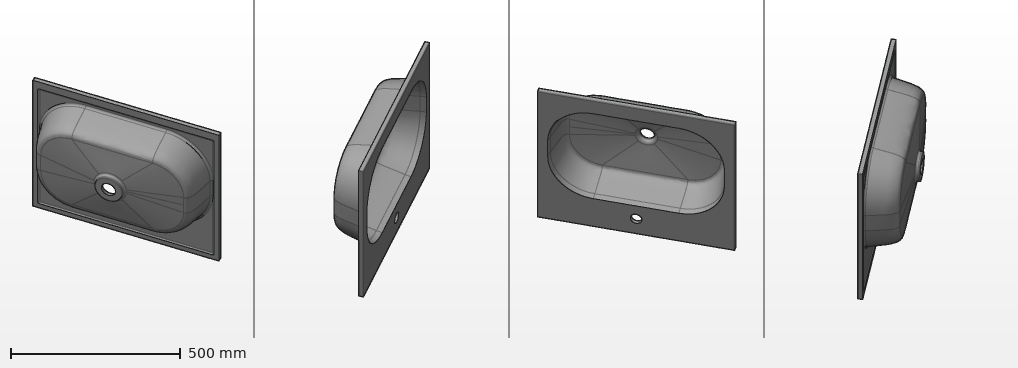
import cadquery as cq
import math


rim_width = 600.0
rim_height = 500.0
rim_thickness = 15.0
rim_edge_radius = 2.0

recess_depth = 3.0
recess_cove_radius = 7.0
recess_floor_side_border = 22.0
recess_floor_top_border = 33.0
recess_floor_bottom_border = 23.0
deck_thickness = rim_thickness - recess_depth

bowl_centre_z = 30.0
corner_centre_x = 130.0
corner_centre_z = 30.0
wall_thickness = 7.0

root_corner_radius = 150.0
root_fillet = 8.0
wall_draft = math.radians(11)
wall_curve_reach = 82.0
floor_corner_radius = 100.0
floor_curve_reach = 18.0
wall_depth = 115.0

wall_start_radius = root_corner_radius - root_fillet * math.cos(wall_draft)
wall_start_depth = deck_thickness + root_fillet * (1 - math.sin(wall_draft))

floor_end_depth = 129.0
total_depth = 142.0
boss_radius = 44.5
boss_fillet = 8.0
boss_edge_radius = 1.5
drain_hole_radius = 22.5
drain_hole_length = 6.0
drain_lip_radius = 12.0

tap_hole_diameter = 35.0
tap_hole_z = 60.0 - rim_height / 2


def plane_at(depth, centre_z=0.0):
    """Workplane parallel to the rim: local x along X, local y along Z, normal along -Y."""
    return cq.Workplane("XZ", origin=(0, -depth, centre_z))


def lifted(sketch, distance):
    """The sketch moved along the normal of its workplane."""
    return sketch.moved(cq.Location(cq.Vector(0, 0, distance)))


def make_rim():
    """Slab with rounded outer corners and show edge, recessed at the back."""
    slab = plane_at(0).rect(rim_width, rim_height).extrude(rim_thickness)
    slab = slab.edges("|Y or >Y").fillet(rim_edge_radius)
    return slab.cut(make_recess())


def make_recess():
    """Coved pocket, reaching beyond the back of the rim so that only the foot of the cove cuts it."""
    width = rim_width - 2 * recess_floor_side_border + 2 * recess_cove_radius
    height = rim_height - recess_floor_top_border - recess_floor_bottom_border + 2 * recess_cove_radius
    centre_z = (recess_floor_bottom_border - recess_floor_top_border) / 2
    pocket = plane_at(deck_thickness, centre_z).rect(width, height).extrude(2 * recess_cove_radius)
    return pocket.edges("|Y or >Y").fillet(recess_cove_radius)


def draw_wall(profile, inset):
    """Add the wall curve, from its upper end to the floor; inset moves it inward and raises the floor."""
    start_x = wall_start_radius - inset
    floor_y = inset - wall_depth
    start = (start_x, -wall_start_depth)
    start_control = (
        start_x - wall_curve_reach * math.sin(wall_draft),
        -wall_start_depth - (wall_curve_reach - inset) * math.cos(wall_draft),
    )
    end_control = (floor_corner_radius + floor_curve_reach, floor_y)
    end = (floor_corner_radius, floor_y)
    return profile.bezier([start, start_control, end_control, end])


def outer_profile(workplane):
    """Outside of the bowl: local x is the corner radius, local y is along Y."""
    profile = workplane.moveTo(0, 0).lineTo(root_corner_radius, 0).lineTo(root_corner_radius, -deck_thickness)
    profile = profile.radiusArc((wall_start_radius, -wall_start_depth), -root_fillet)
    return draw_wall(profile, 0).lineTo(0, -wall_depth).close()


def inner_profile(workplane):
    """Inside of the bowl: the set-in wall curve, carried straight up to the show face."""
    curve_top_radius = wall_start_radius - wall_thickness
    mouth_radius = curve_top_radius + wall_start_depth * math.tan(wall_draft)
    profile = workplane.moveTo(0, 0).lineTo(mouth_radius, 0).lineTo(curve_top_radius, -wall_start_depth)
    return draw_wall(profile, wall_thickness).lineTo(0, wall_thickness - wall_depth).close()


def make_tub(draw_profile, depth):
    """Bowl body: the profile run straight along the four sides and turned around the four corners."""
    tub = plane_at(0, bowl_centre_z).rect(2 * corner_centre_x, 2 * corner_centre_z).extrude(depth)
    outward_directions = [(1, 0, 0), (0, 0, -1), (-1, 0, 0), (0, 0, 1)]
    for index, outward in enumerate(outward_directions):
        next_outward = outward_directions[(index + 1) % 4]
        corner_x = corner_centre_x * (outward[0] + next_outward[0])
        corner_z = corner_centre_z * (outward[2] + next_outward[2])
        side_length = 2 * (corner_centre_x if outward[0] == 0 else corner_centre_z)
        along_side = (-outward[2], 0, outward[0])
        corner_origin = (corner_x, 0, bowl_centre_z + corner_z)
        corner_plane = cq.Plane(origin=corner_origin, xDir=outward, normal=along_side)
        side = draw_profile(cq.Workplane(corner_plane)).extrude(side_length)
        corner = draw_profile(cq.Workplane(corner_plane)).revolve(90, (0, 0), (0, 1))
        tub = tub.union(side, clean=False).union(corner, clean=False)
    return tub.clean()


def make_floor(start_depth, end_depth, end_radius):
    """Floor sloping from the rounded rectangle at the foot of the wall to a circle around the drain."""
    width = 2 * (corner_centre_x + floor_corner_radius)
    height = 2 * (corner_centre_z + floor_corner_radius)
    outline = cq.Sketch().rect(width, height).vertices().fillet(floor_corner_radius)
    drain_circle = lifted(cq.Sketch().circle(end_radius), end_depth - start_depth)
    return plane_at(start_depth, bowl_centre_z).placeSketch(outline, drain_circle).loft(ruled=True)


def make_flared_post(radius, flare, start_depth, end_depth):
    """Round post around the drain axis whose upper end, at the start depth, flares out in a quarter round."""
    flare_end_depth = start_depth + flare
    return (
        cq.Workplane("XY", origin=(0, 0, bowl_centre_z))
        .moveTo(0, -start_depth)
        .lineTo(radius + flare, -start_depth)
        .radiusArc((radius, -flare_end_depth), -flare)
        .lineTo(radius, -end_depth)
        .lineTo(0, -end_depth)
        .close()
        .revolve(360, (0, 0), (0, 1))
    )


def make_body():
    """Outside of the bowl with its sloping floor and drain boss."""
    floor = make_floor(wall_depth, floor_end_depth, boss_radius + boss_fillet)
    boss = make_flared_post(boss_radius, boss_fillet, floor_end_depth, total_depth)
    boss = boss.faces("<Y").edges().fillet(boss_edge_radius)
    return make_tub(outer_profile, wall_depth).union(floor).union(boss)


def make_cavity():
    """Inside of the bowl, ending in the drain hole with its rounded upper lip."""
    floor_start_depth = wall_depth - wall_thickness
    lip_start_depth = total_depth - drain_hole_length - drain_lip_radius
    floor = make_floor(floor_start_depth, lip_start_depth, drain_hole_radius + drain_lip_radius)
    drain = make_flared_post(drain_hole_radius, drain_lip_radius, lip_start_depth, total_depth)
    return make_tub(inner_profile, floor_start_depth).union(floor).union(drain)


def make_tap_hole():
    """Round cutter through the rim."""
    return plane_at(0, tap_hole_z).circle(tap_hole_diameter / 2).extrude(rim_thickness)


result = make_rim().union(make_body()).cut(make_cavity()).cut(make_tap_hole())